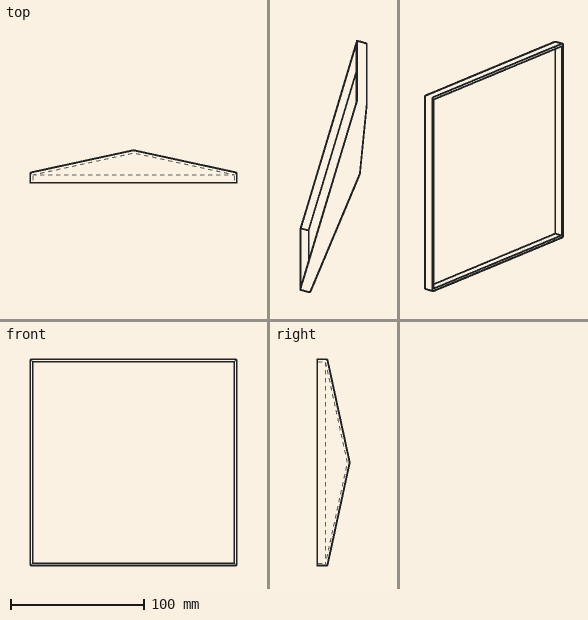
import cadquery as cq
import math

outer_width = 155.0
total_depth = 24.5
wall = 2.0
eave_depth = 7.7
edge_radius = 1.5

opening_width = outer_width - 2 * wall
roof_slope = (total_depth - eave_depth) / (outer_width / 2)
roof_thickness_along_y = wall * math.hypot(1, roof_slope)
inner_apex_depth = total_depth - roof_thickness_along_y
inner_eave_depth = inner_apex_depth - roof_slope * opening_width / 2


def gable_prism(width, eave, apex):
    """Five-sided gable profile in XY, extruded along Z and centred on the Z axis."""
    half = width / 2
    profile = [(-half, 0), (half, 0), (half, eave), (0, apex), (-half, eave)]
    return cq.Workplane("XY").polyline(profile).close().extrude(half, both=True)


def pyramid_block(width, eave, apex):
    """Square block with a pyramid roof: two gable prisms crossed at a right angle."""
    gable = gable_prism(width, eave, apex)
    return gable.intersect(gable.rotate((0, 0, 0), (0, 1, 0), 90))


def rounded_body():
    """Outer block with its four corners and its eave rounded."""
    block = pyramid_block(outer_width, eave_depth, total_depth)
    corners = block.edges("|Y")
    eave = block.edges("|X or |Z").edges(">Y")
    return corners.add(eave).fillet(edge_radius)


def cavity():
    """Inner pyramid block that leaves an even wall and opens at the rim."""
    return pyramid_block(opening_width, inner_eave_depth, inner_apex_depth)


result = rounded_body().cut(cavity())